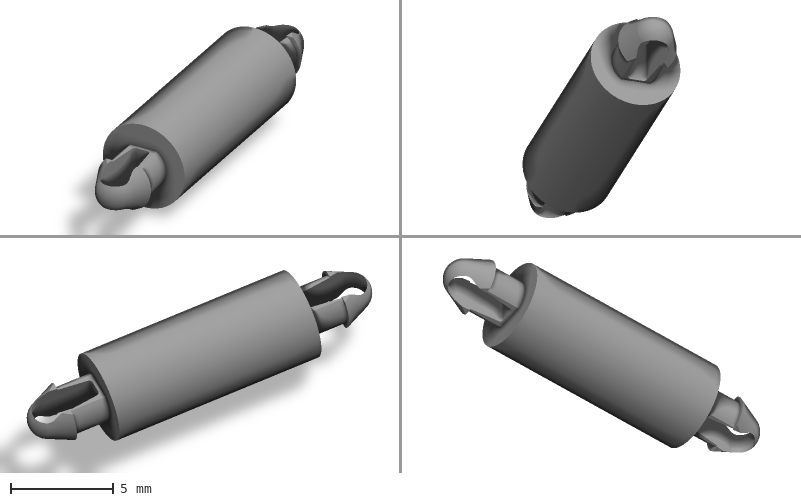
import cadquery as cq
import math

total_length = 18.6
body_diameter = 4.6
body_length = 11.01

post_diameter = 2.5
post_thickness = 2.0
barb_diameter = 3.0
barb_thickness = 2.2
barb_height = 1.88
dome_radius = 1.02
dome_height = 0.58

tip_wall = 0.25
slot_round_radius = 0.76
slot_root_width = 0.93
slot_root_gap = 0.17
slot_corner_radius = 0.19

body_end = body_length / 2
tip = total_length / 2
shoulder = tip - barb_height


def slab(thickness):
    """Centred slab that trims a round shape to two flats facing +Z and -Z."""
    return cq.Workplane("XY").box(2 * body_diameter, 2 * total_length, thickness)


def make_body():
    body_start = cq.Workplane("XZ", origin=(0, -body_end, 0))
    return body_start.circle(body_diameter / 2).extrude(-body_length)


def make_post():
    post = cq.Workplane("XZ").circle(post_diameter / 2).extrude(-shoulder)
    return post.intersect(slab(post_thickness))


def make_barb():
    """Cone with a spherical nose, revolved about Y and flattened."""
    dome_base = tip - dome_height
    dome_center = tip - dome_radius
    dome_base_radius = math.sqrt(dome_radius**2 - (dome_base - dome_center) ** 2)
    middle_angle = math.asin(dome_base_radius / dome_radius) / 2
    arc_middle = (
        dome_radius * math.sin(middle_angle),
        dome_center + dome_radius * math.cos(middle_angle),
    )
    barb = (
        cq.Workplane("XY")
        .moveTo(0, shoulder)
        .lineTo(barb_diameter / 2, shoulder)
        .lineTo(dome_base_radius, dome_base)
        .threePointArc(arc_middle, (0, tip))
        .close()
        .revolve(360, (0, 0), (0, 1))
    )
    return barb.intersect(slab(barb_thickness))


def make_slot():
    """Round end near the tip, narrowing to a flat root with rounded corners."""
    root = body_end + slot_root_gap
    round_center = tip - tip_wall - slot_round_radius
    half_root = slot_root_width / 2
    slot = (
        cq.Workplane("XY")
        .moveTo(-half_root, root)
        .lineTo(half_root, root)
        .lineTo(slot_round_radius, round_center)
        .threePointArc((0, tip - tip_wall), (-slot_round_radius, round_center))
        .close()
        .extrude(barb_thickness, both=True)
    )
    return slot.edges("|Z and <Y").fillet(slot_corner_radius)


pin = make_post().union(make_barb()).cut(make_slot())
result = make_body().union(pin).union(pin.mirror("XZ"))